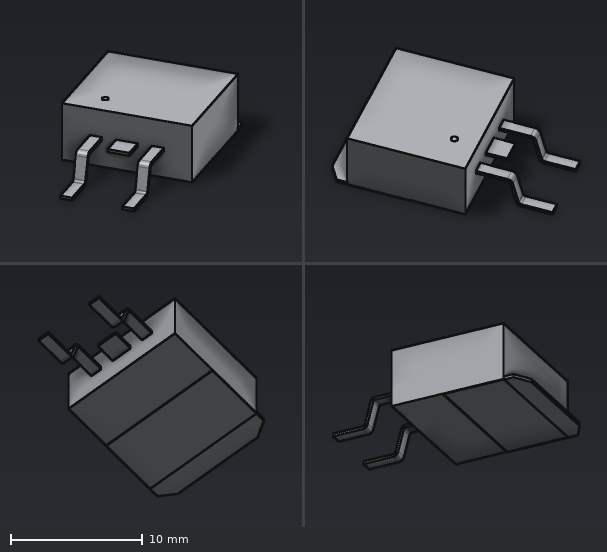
import cadquery as cq
import math

overall_length = 17.55
overall_height = 4.88

housing_width = 10.67
housing_front_y = 6.23
housing_length = 9.62
housing_back_y = housing_front_y + housing_length
standoff = 0.05

tab_thickness = 0.26
tab_chamfer_x = 1.33
tab_chamfer_y = 0.85
pad_front_y = 10.65

lead_thickness = 0.25
lead_width = 0.98
lead_pitch = 5.07
lead_top_z = 2.58
foot_length = 2.53
bend_inner_radius = 0.23
bend_outer_radius = bend_inner_radius + lead_thickness
bend_angle = math.radians(75)

stub_width = 1.79
stub_length = 1.75

marker_diameter = 0.53
marker_depth = 0.1
marker_x = -lead_pitch / 2
marker_y = 8.16


def make_marker():
    return (
        cq.Workplane("XY", origin=(marker_x, marker_y, overall_height - marker_depth))
        .circle(marker_diameter / 2)
        .extrude(marker_depth)
    )


def make_housing():
    block = cq.Workplane("XY").box(
        housing_width, housing_length, overall_height - standoff, centered=(True, False, False)
    )
    return block.translate((0, housing_front_y, standoff)).cut(make_marker())


def make_tab():
    """Stepped plate: full thickness outside the housing, a thin pad beneath it."""
    half_width = housing_width / 2
    shoulder_y = overall_length - tab_chamfer_y
    end_half_width = half_width - tab_chamfer_x
    plate = (
        cq.Workplane("XY")
        .polyline([
            (-half_width, housing_back_y),
            (half_width, housing_back_y),
            (half_width, shoulder_y),
            (end_half_width, overall_length),
            (-end_half_width, overall_length),
            (-half_width, shoulder_y),
        ])
        .close()
        .extrude(tab_thickness)
    )
    pad = cq.Workplane("XY").box(
        housing_width, housing_back_y - pad_front_y, standoff, centered=(True, False, False)
    )
    return plate.union(pad.translate((0, pad_front_y, 0)))


def make_lead(center_x):
    """Flat strip bent down and out again by two equal and opposite bends."""
    foot_top_z = standoff + lead_thickness
    shank_bottom_z = lead_top_z - lead_thickness
    sine = math.sin(bend_angle)
    cosine = math.cos(bend_angle)

    bend_drop = (bend_inner_radius + bend_outer_radius) * (1 - cosine)
    slope_length = (lead_top_z - foot_top_z - bend_drop) / sine
    bend_run = (bend_inner_radius + bend_outer_radius) * sine
    upper_bend_y = foot_length + bend_run + slope_length * cosine
    upper_center_z = lead_top_z - bend_outer_radius
    lower_center_z = standoff + bend_outer_radius

    def upper_point(radius, angle):
        return (upper_bend_y - radius * math.sin(angle), upper_center_z + radius * math.cos(angle))

    def lower_point(radius, angle):
        return (foot_length + radius * math.sin(angle), lower_center_z - radius * math.cos(angle))

    half_angle = bend_angle / 2
    profile = (
        cq.Workplane("YZ")
        .moveTo(housing_front_y, lead_top_z)
        .lineTo(upper_bend_y, lead_top_z)
        .threePointArc(upper_point(bend_outer_radius, half_angle), upper_point(bend_outer_radius, bend_angle))
        .lineTo(*lower_point(bend_inner_radius, bend_angle))
        .threePointArc(lower_point(bend_inner_radius, half_angle), (foot_length, foot_top_z))
        .lineTo(0, foot_top_z)
        .lineTo(0, standoff)
        .lineTo(foot_length, standoff)
        .threePointArc(lower_point(bend_outer_radius, half_angle), lower_point(bend_outer_radius, bend_angle))
        .lineTo(*upper_point(bend_inner_radius, bend_angle))
        .threePointArc(upper_point(bend_inner_radius, half_angle), (upper_bend_y, shank_bottom_z))
        .lineTo(housing_front_y, shank_bottom_z)
        .close()
    )
    return profile.extrude(lead_width / 2, both=True).translate((center_x, 0, 0))


def make_center_stub():
    stub = cq.Workplane("XY").box(
        stub_width, stub_length, lead_thickness, centered=(True, False, False)
    )
    return stub.translate((0, housing_front_y - stub_length, lead_top_z - lead_thickness))


housing = make_housing()
tab = make_tab()
marker = make_marker()
center_stub = make_center_stub()
leads = [make_lead(side * lead_pitch / 2) for side in (-1, 1)]

result = cq.Compound.makeCompound([
    housing.val(),
    tab.val(),
    marker.val(),
    center_stub.val(),
    *[lead.val() for lead in leads],
])